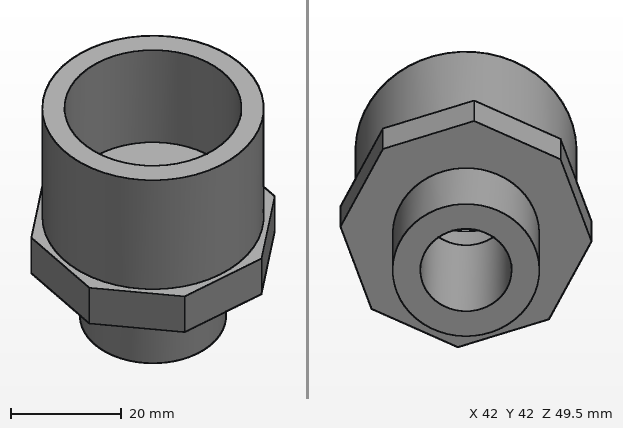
import cadquery as cq
import math

total_height = 49.5
spigot_height = 15.0
socket_height = 26.0
collar_height = total_height - spigot_height - socket_height

spigot_diameter = 26.5
socket_outer_diameter = 40.0
socket_bore_diameter = 32.0
through_bore_diameter = 16.5
collar_across_flats = 42.0

socket_bore_depth = 22.0

collar_sides = 8
half_side_angle = 180 / collar_sides
collar_across_corners = collar_across_flats / math.cos(math.radians(half_side_angle))


def make_collar():
    """Octagonal wrench collar with flats facing X and Y."""
    return (
        cq.Workplane("XY")
        .polygon(collar_sides, collar_across_corners)
        .extrude(collar_height)
        .rotate((0, 0, 0), (0, 0, 1), half_side_angle)
        .translate((0, 0, spigot_height))
    )


def make_cylinder(diameter, bottom, height):
    """Vertical cylinder on the part axis."""
    return cq.Workplane("XY").workplane(offset=bottom).circle(diameter / 2).extrude(height)


spigot = make_cylinder(spigot_diameter, 0, spigot_height)
socket = make_cylinder(socket_outer_diameter, spigot_height + collar_height, socket_height)
socket_bore = make_cylinder(socket_bore_diameter, total_height - socket_bore_depth, socket_bore_depth)
through_bore = make_cylinder(through_bore_diameter, 0, total_height)

result = spigot.union(make_collar()).union(socket).cut(socket_bore).cut(through_bore)